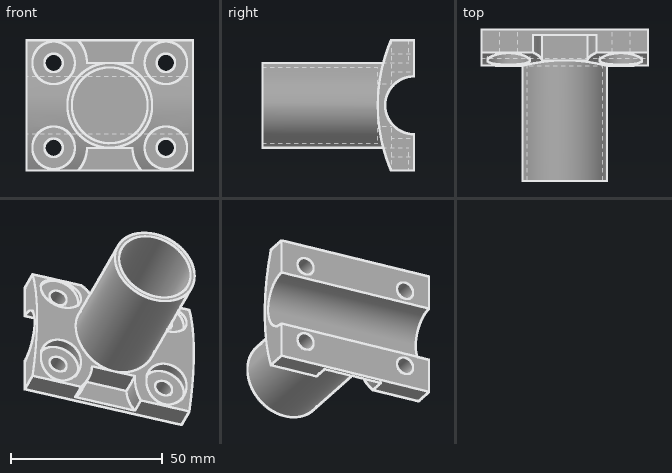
import cadquery as cq

plate_width = 55.0
plate_height = 43.0
edge_thickness = 7.6
crown_thickness = 12.0
groove_radius = 9.5

tube_outer_diameter = 28.0
tube_bore_diameter = 25.0
tube_end = 50.0

hole_spacing_x = 37.0
hole_spacing_z = tube_outer_diameter
hole_diameter = 6.0
counterbore_diameter = 14.0
seat_thickness = 7.5

pocket_floor = 1.85
pocket_hole_clearance_radius = 11.0

hole_centers = [
    (side_x * hole_spacing_x / 2, side_z * hole_spacing_z / 2)
    for side_x in (-1, 1)
    for side_z in (-1, 1)
]


def rod(diameter, start, end, center=(0, 0)):
    """Cylinder along -Y between two distances from the back face."""
    return (
        cq.Workplane("XZ", origin=(0, -start, 0))
        .center(*center)
        .circle(diameter / 2)
        .extrude(end - start)
    )


def saddle_plate():
    """Plate with an arched front and a half-round groove along its back."""
    half_height = plate_height / 2
    return (
        cq.Workplane("YZ", origin=(-plate_width / 2, 0, 0))
        .moveTo(0, groove_radius)
        .lineTo(0, half_height)
        .lineTo(-edge_thickness, half_height)
        .threePointArc((-crown_thickness, 0), (-edge_thickness, -half_height))
        .lineTo(0, -half_height)
        .lineTo(0, -groove_radius)
        .threePointArc((-groove_radius, 0), (0, groove_radius))
        .close()
        .extrude(plate_width)
    )


def pocket(side_z):
    """Cutter open at the plate edge, leaving round lands at the holes."""
    pocket_height = (plate_height - tube_outer_diameter) / 2
    center_z = side_z * (plate_height + tube_outer_diameter) / 4
    cutter = (
        cq.Workplane("XZ", origin=(0, -pocket_floor, 0))
        .center(0, center_z)
        .rect(hole_spacing_x, pocket_height)
        .extrude(crown_thickness - pocket_floor)
    )
    for side_x in (-1, 1):
        center = (side_x * hole_spacing_x / 2, side_z * hole_spacing_z / 2)
        land_diameter = 2 * pocket_hole_clearance_radius
        cutter = cutter.cut(rod(land_diameter, 0, crown_thickness, center))
    return cutter


plate = saddle_plate()
for side in (-1, 1):
    plate = plate.cut(pocket(side))

result = plate.union(rod(tube_outer_diameter, groove_radius, tube_end))
result = result.cut(rod(tube_bore_diameter, crown_thickness, tube_end))

for hole_center in hole_centers:
    result = result.cut(rod(hole_diameter, 0, crown_thickness, hole_center))
    result = result.cut(rod(counterbore_diameter, seat_thickness, crown_thickness, hole_center))